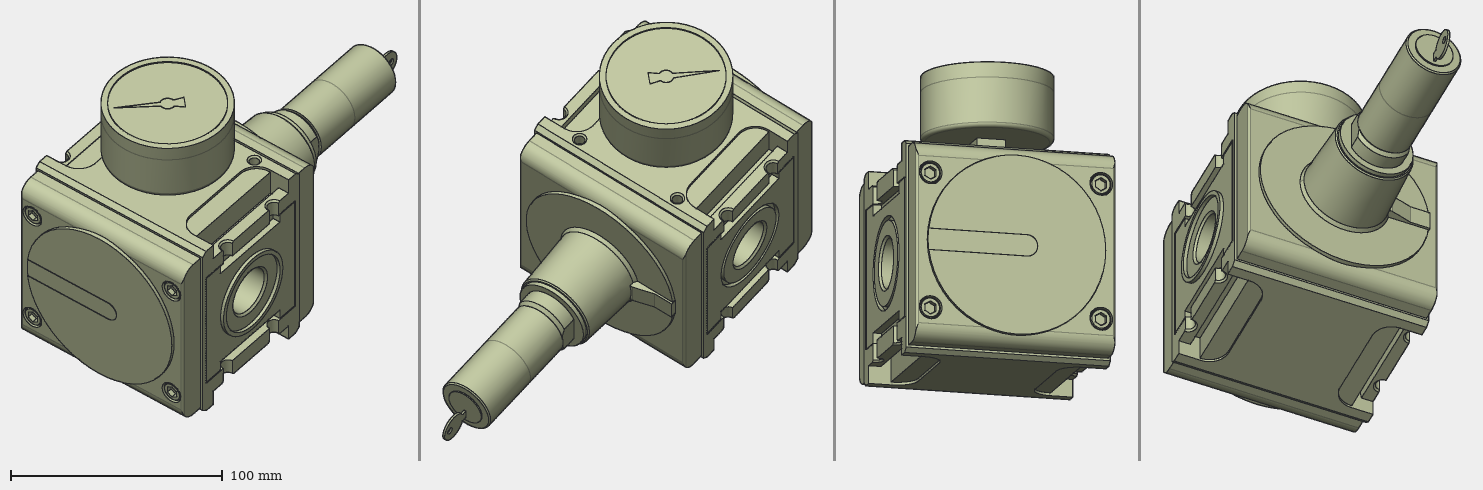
import cadquery as cq
import math


BLOCK_WIDTH = 100.1
BLOCK_HALF_DEPTH = 36.8
BLOCK_HALF_HEIGHT = 51.5
BLOCK_CHAMFER_Y = 2.7
BLOCK_CHAMFER_Z = 2.0

CAP_WIDTH = 97.6
CAP_FACE_Y = 50.2
CAP_HALF_HEIGHT = 48.4
CAP_CORNER_RADIUS = 7.7
CAP_EDGE_RADIUS = 1.1
COVER_DIAMETER = 87.0
COVER_FACE_Y = 52.0

SCREW_X = 41.8
SCREW_Z = 32.8
SCREW_BORE_DIAMETER = 11.0
SCREW_BORE_DEPTH = 3.5
SCREW_HEAD_DIAMETER = 10.0
SCREW_HEAD_SINK = 0.5
SCREW_HEAD_CHAMFER = 0.5
SCREW_SOCKET_FLATS = 5.5
SCREW_SOCKET_DEPTH = 2.7

MARKER_WIDTH = 10.5
MARKER_END_X = 10.2
MARKER_DEPTH = 0.2
POINTER_LOW_Y = 53.0
POINTER_HIGH_Y = 56.3
POINTER_RAMP_START_X = -33.5
POINTER_RAMP_END_X = -22.5

PANEL_SIZE = 67.8
PANEL_DEPTH = 0.5
PORT_DIAMETER = 24.2
PORT_DEPTH = 15.5
PORT_CHAMFER = 1.1
GROOVE_INNER_DIAMETER = 41.0
GROOVE_OUTER_DIAMETER = 45.2
GROOVE_DEPTH = 2.3
SEAL_HEIGHT = 1.4

CLAMP_LENGTH = 57.5
CLAMP_WALL_X = 39.0
LEDGE_TOP_Z = 43.0
LEDGE_BOTTOM_Z = PANEL_SIZE / 2
LEDGE_INNER_X = 44.0
DOVETAIL_FLOOR_X = 43.0
DOVETAIL_FLOOR_Z = 36.5
TOP_POCKET_FLOOR_Z = 50.2
TOP_POCKET_INNER_X = 28.7
TOP_POCKET_RADIUS = 10.0
SLOT_LENGTH = 45.2
SLOT_BOTTOM_Z = 28.5
SLOT_DEPTH = 4.5
NOTCH_DIAMETER = 6.8
NOTCH_CHAMFER = 1.0
NOTCH_Y = 17.6

TOP_HOLE_X = 29.0
TOP_HOLE_Y = 29.4
TOP_HOLE_DIAMETER = 5.0
TOP_HOLE_RIM_DIAMETER = 6.8
TOP_HOLE_DEPTH = 6.8

NECK_FLARE_RADIUS = 23.0
NECK_BASE_RADIUS = 22.0
NECK_BASE_Y = 54.0
NECK_TOP_RADIUS = 20.1
NECK_TOP_Y = 87.2
NECK_TOP_CHAMFER = 0.7
COLLAR_RADIUS = 18.8
COLLAR_END_Y = 89.5
NUT_FLATS = 26.2
NUT_RADIUS = 15.1
NUT_END_Y = 98.8
NUT_FACE_RADIUS = 13.3
NUT_CHAMFER_LENGTH = 1.8
LOCK_RADIUS = 28.2 / 2
LOCK_START_Y = 99.2
LOCK_SEAM_Y = 124.8
LOCK_END_Y = 156.6
LOCK_CHAMFER = 0.7
LOCK_STEM_RADIUS = 12.7
PLUG_RADIUS = 19.2 / 2
PLUG_END_Y = 157.3

KEY_Z = -5.0
KEY_THICKNESS = 1.1
KEY_TIP_Y = 174.0
KEY_BOW_RADIUS = 7.2
KEY_SHANK_WIDTH = 5.0
KEY_HOLE_DIAMETER = 3.5
KEY_HOLE_Y = 169.7

GAUGE_RADIUS = 63.0 / 2
GAUGE_TOP_Z = 93.5
GAUGE_SEAM_Z = 86.0
GAUGE_BOTTOM_Z = 62.2
GAUGE_BOTTOM_ROUND = 2.0
DIAL_DIAMETER = 56.7
DIAL_DEPTH = 0.7
STEM_FLATS = 14.0
STEM_BOTTOM_Z = 55.4
STEM_NECK_RADIUS = 12.0 / 2
STEM_FOOT_RADIUS = 6.5
STEM_FOOT_TOP_Z = 52.2
HAND_HEIGHT = 0.2
HAND_HUB_RADIUS = 3.6
HAND_TIP = 25.5
HAND_SHOULDER = 18.5
HAND_SHOULDER_HALF_WIDTH = 0.5
HAND_ROOT_HALF_WIDTH = 1.4
HAND_TAIL = 8.1
HAND_TAIL_HALF_WIDTH = 3.5
HAND_TAIL_ROOT_HALF_WIDTH = 1.4
HAND_ANGLE = 225


def box(x, y, z):
    """Box spanning the three given (low, high) ranges."""
    size = (x[1] - x[0], y[1] - y[0], z[1] - z[0])
    return cq.Workplane("XY").box(*size, centered=False).translate((x[0], y[0], z[0]))


def cylinder_y(radius, y_start, y_end, x=0, z=0):
    """Cylinder along Y between two Y positions."""
    plane = cq.Workplane("XZ", origin=(x, y_start, z))
    return plane.circle(radius).extrude(y_start - y_end)


def cylinder_x(diameter, x_start, x_end):
    """Cylinder along the port axis between two X positions."""
    return cq.Workplane("YZ", origin=(x_start, 0, 0)).circle(diameter / 2).extrude(x_end - x_start)


def chamfer_cone(hole_radius, size, mouth, inward):
    """Cone that cuts a 45 degree chamfer at the mouth of a round hole."""
    cone = cq.Solid.makeCone(
        hole_radius + size, hole_radius, size, pnt=cq.Vector(*mouth), dir=cq.Vector(*inward)
    )
    return cq.Workplane(cone)


def both_ways(shape, plane):
    """The shape together with its mirror image."""
    return shape.union(shape.mirror(plane))


def make_block():
    """Middle block with its four long edges chamfered."""
    edge_y = BLOCK_HALF_DEPTH - BLOCK_CHAMFER_Y
    edge_z = BLOCK_HALF_HEIGHT - BLOCK_CHAMFER_Z
    quarter = [(edge_y, BLOCK_HALF_HEIGHT), (BLOCK_HALF_DEPTH, edge_z)]
    right = quarter + [(y, -z) for y, z in reversed(quarter)]
    left = [(-y, -z) for y, z in right]
    return cq.Workplane("YZ").polyline(right + left).close().extrude(BLOCK_WIDTH / 2, both=True)


def make_caps():
    """Rounded end cap and round cover on both the -Y and +Y sides."""
    half_width = CAP_WIDTH / 2
    blank = box((-half_width, half_width), (0, CAP_FACE_Y), (-CAP_HALF_HEIGHT, CAP_HALF_HEIGHT))
    side_profile = blank.edges("|X and >Y").fillet(CAP_CORNER_RADIUS)
    plan_profile = blank.edges("|Z and >Y").fillet(CAP_EDGE_RADIUS)
    cap = side_profile.intersect(plan_profile)
    cover = cylinder_y(COVER_DIAMETER / 2, 0, COVER_FACE_Y)
    return both_ways(cap.union(cover), "XZ")


def make_screw_recess(x, z):
    """Space around and above one sunk socket screw in the -Y cap."""
    head_y = -CAP_FACE_Y + SCREW_HEAD_SINK
    bore_end_y = -CAP_FACE_Y + SCREW_BORE_DEPTH
    bore = cylinder_y(SCREW_BORE_DIAMETER / 2, -COVER_FACE_Y, bore_end_y, x, z)
    head = cylinder_y(SCREW_HEAD_DIAMETER / 2, head_y, bore_end_y, x, z)
    head = head.faces("<Y").chamfer(SCREW_HEAD_CHAMFER)
    socket = (
        cq.Workplane("XZ", origin=(x, head_y, z))
        .transformed(rotate=(0, 0, 30))
        .polygon(6, SCREW_SOCKET_FLATS / math.cos(math.pi / 6))
        .extrude(-SCREW_SOCKET_DEPTH)
    )
    return bore.cut(head.cut(socket))


def make_marker():
    """Shallow bar-shaped recess in the -Y cover, open towards -X."""
    half = MARKER_WIDTH / 2
    bar_end_x = MARKER_END_X - half
    floor_y = -COVER_FACE_Y + MARKER_DEPTH
    bar = box((-COVER_DIAMETER / 2, bar_end_x), (-COVER_FACE_Y, floor_y), (-half, half))
    return bar.union(cylinder_y(half, -COVER_FACE_Y, floor_y, x=bar_end_x))


def make_pointer():
    """Rib on the +Y cover that ramps up from the cover's rim to the neck."""
    rim_x = -COVER_DIAMETER / 2
    outline = [
        (rim_x, CAP_FACE_Y),
        (rim_x, POINTER_LOW_Y),
        (POINTER_RAMP_START_X, POINTER_LOW_Y),
        (POINTER_RAMP_END_X, POINTER_HIGH_Y),
        (0, POINTER_HIGH_Y),
        (0, CAP_FACE_Y),
    ]
    return cq.Workplane("XY").polyline(outline).close().extrude(MARKER_WIDTH / 2, both=True)


def make_panel_recess():
    """Shallow square recess, port and seal groove in the -X side."""
    face_x = -BLOCK_WIDTH / 2
    floor_x = face_x + PANEL_DEPTH
    half = PANEL_SIZE / 2
    recess = box((face_x, floor_x), (-half, half), (-half, half))
    port = cylinder_x(PORT_DIAMETER, face_x, floor_x + PORT_DEPTH)
    port_radius = PORT_DIAMETER / 2
    port_rim = chamfer_cone(port_radius, PORT_CHAMFER, (floor_x, 0, 0), (1, 0, 0))
    groove_end = floor_x + GROOVE_DEPTH
    groove = cylinder_x(GROOVE_OUTER_DIAMETER, floor_x, groove_end).cut(
        cylinder_x(GROOVE_INNER_DIAMETER, floor_x, groove_end)
    )
    return recess.union(port).union(port_rim).union(groove)


def make_clamp_recess():
    """Clamp recess at the top of the -X side: pocket, dovetail groove, slot and notches."""
    face_x = -BLOCK_WIDTH / 2
    half = CLAMP_LENGTH / 2
    pocket = box(
        (face_x, -TOP_POCKET_INNER_X), (-half, half), (TOP_POCKET_FLOOR_Z, BLOCK_HALF_HEIGHT)
    )
    pocket = pocket.edges("|Z and >X").fillet(TOP_POCKET_RADIUS)
    groove = (
        cq.Workplane("XZ")
        .moveTo(face_x, BLOCK_HALF_HEIGHT)
        .lineTo(face_x, LEDGE_TOP_Z)
        .lineTo(-LEDGE_INNER_X, LEDGE_TOP_Z)
        .lineTo(-DOVETAIL_FLOOR_X, DOVETAIL_FLOOR_Z)
        .lineTo(-CLAMP_WALL_X, DOVETAIL_FLOOR_Z)
        .lineTo(-CLAMP_WALL_X, BLOCK_HALF_HEIGHT)
        .close()
        .extrude(half, both=True)
    )
    slot = box(
        (face_x, face_x + SLOT_DEPTH),
        (-SLOT_LENGTH / 2, SLOT_LENGTH / 2),
        (SLOT_BOTTOM_Z, LEDGE_BOTTOM_Z),
    )
    recess = pocket.union(groove).union(slot)
    for y in (-NOTCH_Y, NOTCH_Y):
        notch = (
            cq.Workplane("XY", origin=(face_x, y, LEDGE_BOTTOM_Z))
            .circle(NOTCH_DIAMETER / 2)
            .extrude(LEDGE_TOP_Z - LEDGE_BOTTOM_Z)
        )
        rim = chamfer_cone(NOTCH_DIAMETER / 2, NOTCH_CHAMFER, (face_x, y, LEDGE_TOP_Z), (0, 0, -1))
        recess = recess.union(notch).union(rim)
    return recess


def make_seal():
    """Seal ring standing out of the groove on the +X side."""
    start = BLOCK_WIDTH / 2 - PANEL_DEPTH - GROOVE_DEPTH
    end = BLOCK_WIDTH / 2 + SEAL_HEIGHT
    return cylinder_x(GROOVE_OUTER_DIAMETER, start, end).cut(
        cylinder_x(GROOVE_INNER_DIAMETER, start, end)
    )


def make_top_holes():
    """Two countersunk holes in the top face."""
    rim_depth = (TOP_HOLE_RIM_DIAMETER - TOP_HOLE_DIAMETER) / 2
    plane = cq.Workplane("XY", origin=(0, 0, BLOCK_HALF_HEIGHT))
    spots = plane.pushPoints([(-TOP_HOLE_X, TOP_HOLE_Y), (TOP_HOLE_X, TOP_HOLE_Y)])
    holes = spots.circle(TOP_HOLE_DIAMETER / 2).extrude(-TOP_HOLE_DEPTH)
    rims = spots.circle(TOP_HOLE_RIM_DIAMETER / 2).extrude(-rim_depth, taper=45)
    return holes.union(rims)


def make_neck():
    """Tapered neck and the lock barrel, turned about the Y axis."""
    outline = [
        (0, 0),
        (NECK_FLARE_RADIUS, 0),
        (NECK_FLARE_RADIUS, COVER_FACE_Y),
        (NECK_BASE_RADIUS, NECK_BASE_Y),
        (NECK_TOP_RADIUS, NECK_TOP_Y - NECK_TOP_CHAMFER),
        (NECK_TOP_RADIUS - NECK_TOP_CHAMFER, NECK_TOP_Y),
        (COLLAR_RADIUS, NECK_TOP_Y),
        (COLLAR_RADIUS, COLLAR_END_Y),
        (LOCK_STEM_RADIUS, COLLAR_END_Y),
        (LOCK_STEM_RADIUS, LOCK_START_Y),
        (LOCK_RADIUS, LOCK_START_Y),
        (LOCK_RADIUS, LOCK_SEAM_Y),
        (LOCK_RADIUS, LOCK_END_Y - LOCK_CHAMFER),
        (LOCK_RADIUS - LOCK_CHAMFER, LOCK_END_Y),
        (PLUG_RADIUS, LOCK_END_Y),
        (PLUG_RADIUS, PLUG_END_Y),
        (0, PLUG_END_Y),
    ]
    return cq.Workplane("XY").polyline(outline).close().revolve(360, (0, 0), (0, 1), clean=False)


def make_nut():
    """Round nut below the lock with two flats facing -X and +X, its outer rim turned to a cone."""
    outline = [
        (0, COLLAR_END_Y),
        (NUT_RADIUS, COLLAR_END_Y),
        (NUT_RADIUS, NUT_END_Y - NUT_CHAMFER_LENGTH),
        (NUT_FACE_RADIUS, NUT_END_Y),
        (0, NUT_END_Y),
    ]
    half = NUT_FLATS / 2
    turned = cq.Workplane("XY").polyline(outline).close().revolve(360, (0, 0), (0, 1))
    flats = box((-half, half), (COLLAR_END_Y, NUT_END_Y), (-NUT_RADIUS, NUT_RADIUS))
    return turned.intersect(flats)


def make_key():
    """Flat key with a round bow, standing in the lock."""
    bow_y = KEY_TIP_Y - KEY_BOW_RADIUS
    half = KEY_SHANK_WIDTH / 2
    half_thickness = KEY_THICKNESS / 2
    plane = cq.Workplane("YZ")
    bow = plane.center(bow_y, KEY_Z).circle(KEY_BOW_RADIUS).extrude(half_thickness, both=True)
    hole = plane.center(KEY_HOLE_Y, KEY_Z).circle(KEY_HOLE_DIAMETER / 2)
    shank = box(
        (-half_thickness, half_thickness), (LOCK_END_Y, bow_y), (KEY_Z - half, KEY_Z + half)
    )
    return bow.union(shank).cut(hole.extrude(half_thickness, both=True))


def make_regulator():
    """The whole regulator with its lock, as one solid."""
    body = make_block().union(make_caps())
    for x in (-SCREW_X, SCREW_X):
        for z in (-SCREW_Z, SCREW_Z):
            body = body.cut(make_screw_recess(x, z))
    body = body.cut(make_marker()).union(make_pointer())
    body = body.cut(both_ways(make_panel_recess(), "YZ")).union(make_seal())
    body = body.cut(both_ways(both_ways(make_clamp_recess(), "YZ"), "XY"))
    body = body.cut(make_top_holes())
    body = body.union(make_nut()).union(make_key())
    return body.union(make_neck(), clean=False)


def make_hand():
    """Flat gauge hand with a round hub and a flared tail."""
    upper = [
        (-HAND_TAIL, HAND_TAIL_HALF_WIDTH),
        (0, HAND_TAIL_ROOT_HALF_WIDTH),
        (HAND_HUB_RADIUS, HAND_ROOT_HALF_WIDTH),
        (HAND_SHOULDER, HAND_SHOULDER_HALF_WIDTH),
    ]
    lower = [(u, -w) for u, w in reversed(upper)]
    base = cq.Workplane("XY", origin=(0, 0, GAUGE_TOP_Z - DIAL_DEPTH))
    blade = base.polyline(upper + [(HAND_TIP, 0)] + lower).close().extrude(HAND_HEIGHT)
    hub = base.circle(HAND_HUB_RADIUS).extrude(HAND_HEIGHT)
    return blade.union(hub).rotate((0, 0, 0), (0, 0, 1), HAND_ANGLE)


def make_gauge():
    """Round gauge whose stem stands on the top face of the regulator."""
    case = (
        cq.Workplane("XZ")
        .moveTo(0, GAUGE_BOTTOM_Z)
        .lineTo(GAUGE_RADIUS - GAUGE_BOTTOM_ROUND, GAUGE_BOTTOM_Z)
        .radiusArc((GAUGE_RADIUS, GAUGE_BOTTOM_Z + GAUGE_BOTTOM_ROUND), -GAUGE_BOTTOM_ROUND)
        .lineTo(GAUGE_RADIUS, GAUGE_SEAM_Z)
        .lineTo(GAUGE_RADIUS, GAUGE_TOP_Z)
        .lineTo(0, GAUGE_TOP_Z)
        .close()
        .revolve(360, (0, 0), (0, 1), clean=False)
    )
    dial = (
        cq.Workplane("XY", origin=(0, 0, GAUGE_TOP_Z)).circle(DIAL_DIAMETER / 2).extrude(-DIAL_DEPTH)
    )
    half = STEM_FLATS / 2
    stem = box((-half, half), (-half, half), (STEM_BOTTOM_Z, GAUGE_BOTTOM_Z))
    foot_plane = cq.Workplane("XY", origin=(0, 0, BLOCK_HALF_HEIGHT))
    neck = foot_plane.circle(STEM_NECK_RADIUS).extrude(STEM_BOTTOM_Z - BLOCK_HALF_HEIGHT)
    foot = foot_plane.circle(STEM_FOOT_RADIUS).extrude(STEM_FOOT_TOP_Z - BLOCK_HALF_HEIGHT)
    base = stem.union(neck).union(foot)
    return case.cut(dial, clean=False).union(make_hand(), clean=False).union(base, clean=False)


regulator = make_regulator().solids()
gauge = make_gauge().solids()

result = cq.Compound.makeCompound([regulator.val(), gauge.val()])